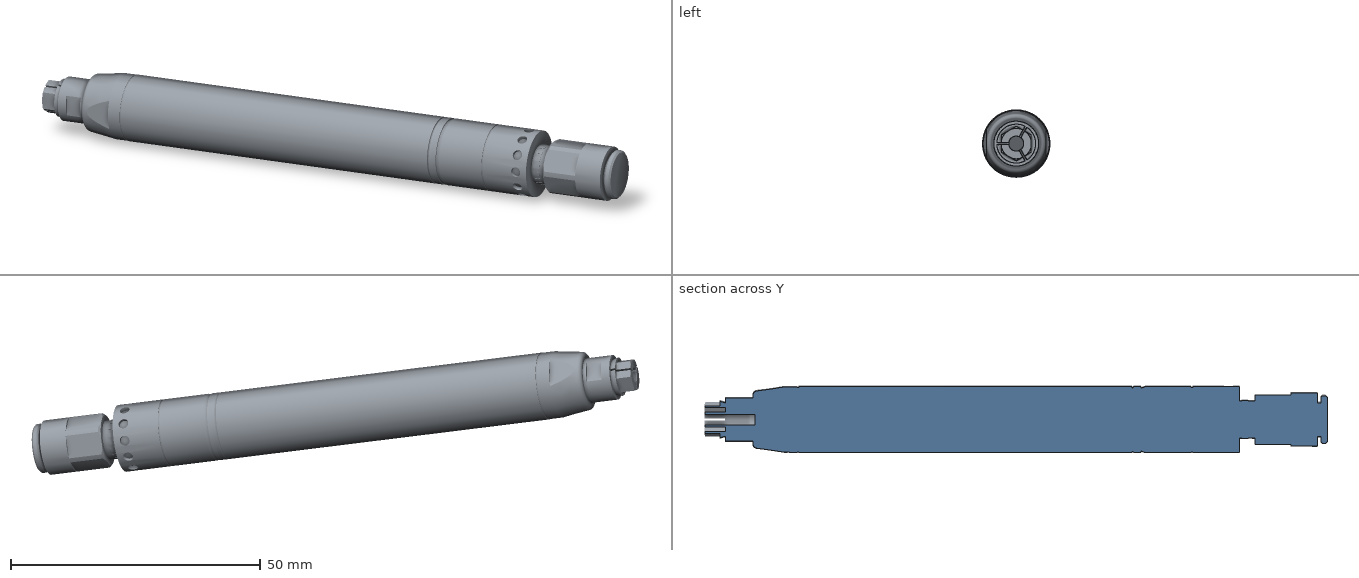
import cadquery as cq
import math

overall_length = 124.87
collet_nut_end = 3.0
spindle_start = 4.05
nose_front = 9.6
nose_cone_end = 15.95
grip_seam = 18.5
rear_seam = 97.55
body_end = 107.3
knurl_start = 107.65
knurl_end = 108.95
fitting_start = 110.3
fitting_hex_end = 117.5
fitting_end = 122.9
release_ring_start = 123.45

collet_tip_diameter = 6.1
collet_rear_diameter = 7.8
collet_neck_diameter = 7.2
spindle_diameter = 9.0
nose_front_diameter = 11.6
nose_ring_diameter = 13.4
body_diameter = 13.5
stem_diameter = 7.8
knurl_diameter = 8.0
fitting_diameter = 11.0
release_neck_diameter = 7.2
release_ring_diameter = 9.9

collet_flats = 6.0
collet_flat_angle = 0
collet_tip_chamfer = 0.3
collet_bore_diameter = 3.0
collet_bore_depth = 10.0
collet_slot_count = 3
collet_slot_width = 0.4

spindle_flats = 8.0
spindle_flat_start = 5.8
spindle_flat_length = 3.1
nose_flats = 12.0
nose_fillet = 0.9

sloped_groove_starts = (85.7, 87.55)
sloped_groove_widths = (0.35, 0.75)
sloped_groove_depth = 0.25
seam_width = 0.3
seam_diameter = 13.2

exhaust_count = 12
exhaust_diameter = 2.0
exhaust_depth = 0.8
exhaust_position = 105.05

knurl_count = 16
knurl_slot_width = 0.75

fitting_flats = 10.0
fitting_flat_angle = 90
fitting_chamfer = 0.45
release_ring_chamfer = 0.35

cutter_clearance = 1.0


def plane_across(position):
    """Workplane across the axis: local x is +Y, local y is +Z, normal is +X."""
    return cq.Workplane(cq.Plane(origin=(position, 0, 0), xDir=(0, 1, 0), normal=(1, 0, 0)))


def cylinder(start, end, diameter):
    return plane_across(start).circle(diameter / 2).extrude(end - start)


def turned(stations):
    """Solid of revolution about X through (position, diameter) stations."""
    outline = [(stations[0][0], 0)]
    outline += [(position, diameter / 2) for position, diameter in stations]
    outline.append((stations[-1][0], 0))
    return cq.Workplane("XY").polyline(outline).close().revolve(360, (0, 0, 0), (1, 0, 0))


def hexagon(start, end, across_flats, flat_angle):
    """Hexagonal bar along X with one flat facing flat_angle degrees from +Y."""
    half_corner = 30
    across_corners = across_flats / math.cos(math.radians(half_corner))
    bar = plane_across(start).polygon(6, across_corners).extrude(end - start)
    return bar.rotate((0, 0, 0), (1, 0, 0), flat_angle + half_corner)


def around_axis(tool, count):
    """Copies of a tool spaced evenly about the X axis."""
    return [tool.rotate((0, 0, 0), (1, 0, 0), 360 * i / count) for i in range(count)]


def cut_seam(part, start):
    """Cut a narrow square groove around the body."""
    ring = cylinder(start, start + seam_width, body_diameter + cutter_clearance)
    return part.cut(ring.cut(cylinder(start, start + seam_width, seam_diameter)))


def cut_sloped_groove(part, start, width, depth):
    """Cut a groove with a square front wall and a floor rising to the rear."""
    end = start + width
    floor = turned([(start, body_diameter - 2 * depth), (end, body_diameter)])
    return part.cut(cylinder(start, end, body_diameter + cutter_clearance).cut(floor))


def cut_side_flats(part, start, length, across_flats, stock_diameter):
    """Cut two parallel flats facing -Y and +Y."""
    depth = stock_diameter / 2
    for side in (-1, 1):
        block = cq.Workplane("XY").box(length, depth, stock_diameter)
        part = part.cut(block.translate((start + length / 2, side * (across_flats + depth) / 2, 0)))
    return part


def make_collet():
    """Hexagonal nut with turned-off tip corners, and the tapered neck behind it."""
    nut = hexagon(0, collet_nut_end, collet_flats, collet_flat_angle)
    nut = nut.intersect(turned([
        (0, collet_tip_diameter),
        (collet_tip_chamfer, collet_rear_diameter),
        (collet_nut_end, collet_rear_diameter),
    ]))
    shoulder = turned([
        (collet_nut_end, collet_rear_diameter),
        (spindle_start, collet_neck_diameter),
    ])
    return nut.union(shoulder)


def cut_collet(part):
    """Bore the collet and split it with radial slots as far as the spindle."""
    part = part.cut(cylinder(0, collet_bore_depth, collet_bore_diameter))
    slot = cq.Workplane("XY").box(
        spindle_start, collet_rear_diameter, collet_slot_width, centered=(False, False, True)
    )
    for tool in around_axis(slot, collet_slot_count):
        part = part.cut(tool)
    return part


def make_nose():
    """Spindle and round-fronted conical nose, both with wrench flats."""
    spindle = cylinder(spindle_start, nose_front, spindle_diameter)
    spindle = cut_side_flats(
        spindle, spindle_flat_start, spindle_flat_length, spindle_flats, spindle_diameter
    )
    nose = turned([
        (nose_front, nose_front_diameter),
        (nose_cone_end, nose_ring_diameter),
        (grip_seam, nose_ring_diameter),
    ])
    nose = nose.faces("<X").edges().fillet(nose_fillet)
    nose = cut_side_flats(nose, nose_front, nose_cone_end - nose_front, nose_flats, nose_ring_diameter)
    return spindle.union(nose)


def make_body():
    """Grip sleeve with its grooves and the ring of exhaust holes."""
    body = cylinder(grip_seam, body_end, body_diameter)
    for start, width in zip(sloped_groove_starts, sloped_groove_widths):
        body = cut_sloped_groove(body, start, width, sloped_groove_depth)
    for start in (grip_seam, rear_seam):
        body = cut_seam(body, start)
    return cut_exhaust_holes(body)


def cut_exhaust_holes(body):
    """Cut shallow radial holes whose floors follow the round of the body."""
    hole = (
        cq.Workplane("XY")
        .center(exhaust_position, 0)
        .circle(exhaust_diameter / 2)
        .extrude(body_diameter)
        .cut(cylinder(rear_seam, body_end, body_diameter - 2 * exhaust_depth))
    )
    for tool in around_axis(hole, exhaust_count):
        body = body.cut(tool)
    return body


def make_stem():
    """Narrow stem with a collar split into knurl teeth."""
    stem = cylinder(body_end, fitting_start, stem_diameter)
    collar = cylinder(knurl_start, knurl_end, knurl_diameter)
    slot = cq.Workplane("XY").box(
        knurl_end - knurl_start, knurl_slot_width, knurl_diameter, centered=(False, True, False)
    )
    for tool in around_axis(slot.translate((knurl_start, 0, 0)), knurl_count):
        collar = collar.cut(tool)
    return stem.union(collar)


def make_fitting():
    """Push-in hose fitting: hexagon, round sleeve and release ring."""
    ring_face_diameter = release_ring_diameter - 2 * release_ring_chamfer
    fitting = turned([
        (fitting_start, fitting_diameter - 2 * fitting_chamfer),
        (fitting_start + fitting_chamfer, fitting_diameter),
        (fitting_end, fitting_diameter),
        (fitting_end, release_neck_diameter),
        (release_ring_start, release_neck_diameter),
        (release_ring_start, ring_face_diameter),
        (release_ring_start + release_ring_chamfer, release_ring_diameter),
        (overall_length - release_ring_chamfer, release_ring_diameter),
        (overall_length, ring_face_diameter),
    ])
    around_hexagon = cylinder(fitting_start, fitting_hex_end, fitting_diameter + cutter_clearance).cut(
        hexagon(fitting_start, fitting_hex_end, fitting_flats, fitting_flat_angle)
    )
    return fitting.cut(around_hexagon)


result = make_collet().union(make_nose()).union(make_body()).union(make_stem()).union(make_fitting())
result = cut_collet(result)